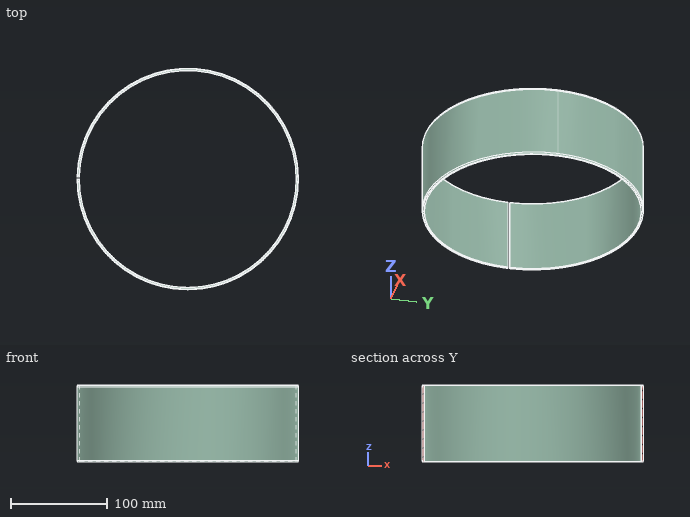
import math

import cadquery as cq

outer_diameter = 230.0
wall_thickness = 2.5
height = 80.0
slit_width = 2.0

outer_chamfer_height = 1.8
outer_chamfer_angle = 20.0
inner_chamfer_height = 0.6
inner_chamfer_angle = 30.0

outer_radius = outer_diameter / 2
inner_radius = outer_radius - wall_thickness
outer_chamfer_depth = outer_chamfer_height * math.tan(math.radians(outer_chamfer_angle))
inner_chamfer_depth = inner_chamfer_height * math.tan(math.radians(inner_chamfer_angle))
rim_outer_radius = outer_radius - outer_chamfer_depth
rim_inner_radius = inner_radius + inner_chamfer_depth


def make_ring():
    """Thin ring on the Z axis, with both rims chamfered outside and inside."""
    wall_section = (
        cq.Workplane("XZ")
        .moveTo(inner_radius, inner_chamfer_height)
        .lineTo(rim_inner_radius, 0)
        .lineTo(rim_outer_radius, 0)
        .lineTo(outer_radius, outer_chamfer_height)
        .lineTo(outer_radius, height - outer_chamfer_height)
        .lineTo(rim_outer_radius, height)
        .lineTo(rim_inner_radius, height)
        .lineTo(inner_radius, height - inner_chamfer_height)
        .close()
    )
    return wall_section.revolve(360, (0, 0, 0), (0, 1, 0))


def make_slit_cutter():
    """Full-height block through the -X wall, with one face on the XZ plane."""
    cutter = cq.Workplane("XY").box(outer_radius, slit_width, height, centered=False)
    return cutter.translate((-outer_radius, 0, 0))


result = make_ring().cut(make_slit_cutter())